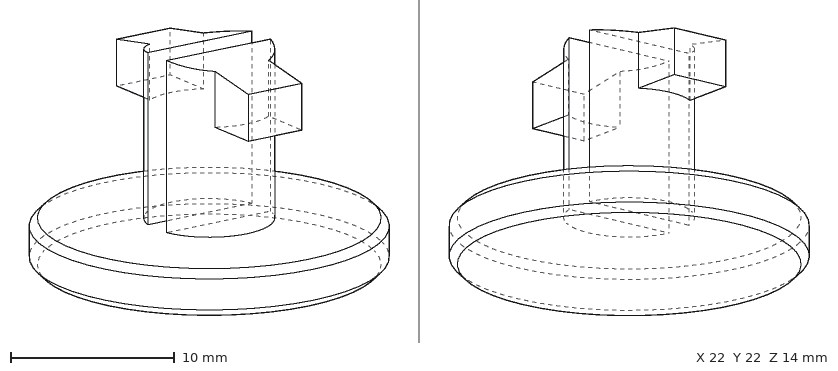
import cadquery as cq

disc_diameter = 22.0
disc_height = 3.0
disc_chamfer = 0.5

total_height = 14.0
stem_diameter = 8.0
slot_width = 2.0
arm_span = 14.0
arm_width = 4.0
arm_bottom = 10.0
arm_tip_top = 13.0


def make_disc():
    disc = cq.Workplane("XY").circle(disc_diameter / 2).extrude(disc_height)
    return disc.edges("%CIRCLE").chamfer(disc_chamfer)


def make_sloped_half(side):
    """Space kept on one side of the slot, below the top face that falls towards the arm tip."""
    inner_x = side * slot_width / 2
    outer_x = side * arm_span / 2
    profile = [
        (inner_x, disc_height),
        (outer_x, disc_height),
        (outer_x, arm_tip_top),
        (inner_x, total_height),
    ]
    return cq.Workplane("XZ").polyline(profile).close().extrude(stem_diameter, both=True)


def make_locking_head():
    """Full round stem and crossbar, before slotting and sloping the top."""
    stem = (
        cq.Workplane("XY")
        .workplane(offset=disc_height)
        .circle(stem_diameter / 2)
        .extrude(total_height - disc_height)
    )
    crossbar = (
        cq.Workplane("XY")
        .workplane(offset=arm_bottom)
        .rect(arm_span, arm_width)
        .extrude(total_height - arm_bottom)
    )
    return stem.union(crossbar)


result = make_disc()
locking_head = make_locking_head()
for side in (-1, 1):
    result = result.union(locking_head.intersect(make_sloped_half(side)))